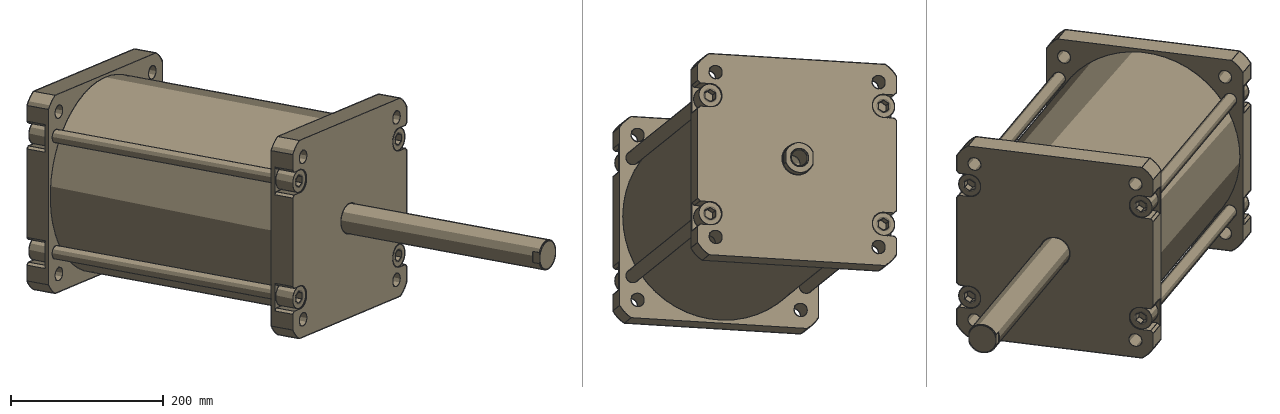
import cadquery as cq
import math

ROD_LENGTH = 740.0
REAR_STUB = 12.0
PLATE_SIDE = 270.0
PLATE_THICKNESS = 34.0
PLATE_CORNER_INSET = 15.5
PLATE_CORNER_RADIUS = 44.5
BARREL_LENGTH = 349.0
BARREL_DIAMETER = 262.0

ROD_DIAMETER = 40.0
ROD_BORE_CHAMFER = 1.0
ROD_END_CHAMFER = 1.1
ROD_FLATS_WIDTH = 37.0
REAR_FLATS_LENGTH = 9.5
FRONT_FLATS_LENGTH = 11.0
ROD_SOCKET_DIAMETER = 21.5
ROD_SOCKET_CHAMFER = 1.5
ROD_SOCKET_DEPTH = 37.0
DRILL_POINT_ANGLE = 118.0

MOUNT_HOLE_DIAMETER = 18.0
MOUNT_HOLE_INSET = 24.5

TIE_DIAMETER = 18.0
TIE_Y = 118.0
TIE_Z = 79.0
HEAD_DIAMETER = 30.0
HEAD_LENGTH = 27.0
HEX_ACROSS_FLATS = 14.0
HEX_DEPTH = 13.0
HEX_LEAD_IN_DEPTH = 0.4

POCKET_WIDTH = 31.0
POCKET_DEPTH = 28.0
POCKET_EDGE_CHAMFER = 3.3

HALF_SIDE = PLATE_SIDE / 2
REAR_PLATE_X = REAR_STUB
BARREL_X = REAR_PLATE_X + PLATE_THICKNESS
MIDDLE_X = BARREL_X + BARREL_LENGTH / 2
MOUNT_HOLE_OFFSET = HALF_SIDE - MOUNT_HOLE_INSET
TIE_PLACES = [(y, z) for y in (-TIE_Y, TIE_Y) for z in (-TIE_Z, TIE_Z)]
MOUNT_PLACES = [
    (y, z)
    for y in (-MOUNT_HOLE_OFFSET, MOUNT_HOLE_OFFSET)
    for z in (-MOUNT_HOLE_OFFSET, MOUNT_HOLE_OFFSET)
]


def section_at(x):
    """Workplane across the X axis; its local axes are Y and Z and it extrudes toward +X."""
    return cq.Workplane("YZ", origin=(x, 0, 0))


def make_cone(start, start_diameter, end_diameter, length):
    """Cut-off cone that runs toward +X from its start point."""
    cone = cq.Solid.makeCone(
        start_diameter / 2, end_diameter / 2, length, cq.Vector(*start), cq.Vector(1, 0, 0)
    )
    return cq.Workplane(cone)


def mirror_front_to_back(body):
    """Mirror a body about the middle of the barrel."""
    return body.mirror("YZ", (MIDDLE_X, 0, 0))


def make_head_pocket(y, z):
    """Round-bottomed pocket in the rear face, its mouth flared where it leaves the plate side."""
    side = math.copysign(1, y)
    half_width = POCKET_WIDTH / 2
    edge = side * HALF_SIDE
    throat = edge - side * POCKET_EDGE_CHAMFER
    mouth = half_width + POCKET_EDGE_CHAMFER
    return (
        section_at(REAR_PLATE_X)
        .moveTo(y, z + half_width)
        .lineTo(throat, z + half_width)
        .lineTo(edge, z + mouth)
        .lineTo(edge, z - mouth)
        .lineTo(throat, z - half_width)
        .lineTo(y, z - half_width)
        .threePointArc((y - side * half_width, z), (y, z + half_width))
        .close()
        .extrude(POCKET_DEPTH)
    )


def make_plate_outline():
    """Square outline with each corner cut off by a shallow arc."""
    straight_end = HALF_SIDE - PLATE_CORNER_INSET
    half_chord = PLATE_CORNER_INSET / math.sqrt(2)
    bulge = PLATE_CORNER_RADIUS - math.sqrt(PLATE_CORNER_RADIUS**2 - half_chord**2)
    arc_middle = HALF_SIDE - PLATE_CORNER_INSET / 2 + bulge / math.sqrt(2)
    outline = section_at(REAR_PLATE_X).moveTo(HALF_SIDE, -straight_end)
    corner = [(HALF_SIDE, straight_end), (arc_middle, arc_middle), (straight_end, HALF_SIDE)]
    for _ in range(4):
        outline = outline.lineTo(*corner[0]).threePointArc(*corner[1:])
        corner = [(-z, y) for y, z in corner]
    return outline.close()


def make_rear_plate():
    plate = make_plate_outline().extrude(PLATE_THICKNESS)
    for diameter, places in (
        (ROD_DIAMETER, [(0, 0)]),
        (MOUNT_HOLE_DIAMETER, MOUNT_PLACES),
        (TIE_DIAMETER, TIE_PLACES),
    ):
        holes = section_at(REAR_PLATE_X).pushPoints(places).circle(diameter / 2)
        plate = plate.cut(holes.extrude(PLATE_THICKNESS))
    bore_mouth = make_cone(
        (REAR_PLATE_X, 0, 0), ROD_DIAMETER + 2 * ROD_BORE_CHAMFER, ROD_DIAMETER, ROD_BORE_CHAMFER
    )
    plate = plate.cut(bore_mouth)
    for y, z in TIE_PLACES:
        plate = plate.cut(make_head_pocket(y, z))
    return plate


def make_barrel():
    return (
        section_at(BARREL_X)
        .circle(BARREL_DIAMETER / 2)
        .circle(ROD_DIAMETER / 2)
        .extrude(BARREL_LENGTH)
    )


def make_rod_socket():
    """Blind hole with a chamfered mouth and a drill point, along X from the rear end of the rod."""
    radius = ROD_SOCKET_DIAMETER / 2
    point_length = radius / math.tan(math.radians(DRILL_POINT_ANGLE / 2))
    return (
        cq.Workplane("XY")
        .lineTo(0, radius + ROD_SOCKET_CHAMFER)
        .lineTo(ROD_SOCKET_CHAMFER, radius)
        .lineTo(ROD_SOCKET_DEPTH, radius)
        .lineTo(ROD_SOCKET_DEPTH + point_length, 0)
        .close()
        .revolve(360, (0, 0, 0), (1, 0, 0))
    )


def make_rod_flats(start_x, length):
    """Material outside the two wrench flats on the -Y and +Y sides."""
    return (
        section_at(start_x)
        .rect(2 * ROD_DIAMETER, 2 * ROD_DIAMETER)
        .rect(ROD_FLATS_WIDTH, 2 * ROD_DIAMETER)
        .extrude(length)
    )


def make_piston_rod():
    rod = section_at(0).circle(ROD_DIAMETER / 2).extrude(ROD_LENGTH)
    rod = rod.faces(">X").chamfer(ROD_END_CHAMFER)
    rod = rod.cut(make_rod_flats(0, REAR_FLATS_LENGTH))
    rod = rod.cut(make_rod_flats(ROD_LENGTH - FRONT_FLATS_LENGTH, FRONT_FLATS_LENGTH))
    return rod.cut(make_rod_socket())


def make_tie_head(y, z):
    """Rear socket head on the pocket floor, with a hex socket that has a conical lead-in."""
    inner_x = REAR_PLATE_X + POCKET_DEPTH
    outer_x = inner_x - HEAD_LENGTH
    hex_corners = HEX_ACROSS_FLATS / math.cos(math.pi / 6)
    head = section_at(outer_x).center(y, z).circle(HEAD_DIAMETER / 2).extrude(HEAD_LENGTH)
    hex_socket = (
        section_at(outer_x)
        .center(y, z)
        .transformed(rotate=(0, 0, 90))
        .polygon(6, hex_corners)
        .extrude(HEX_DEPTH)
    )
    lead_in = make_cone((outer_x, y, z), TIE_DIAMETER, HEX_ACROSS_FLATS, HEX_LEAD_IN_DEPTH)
    return head.cut(hex_socket).cut(lead_in)


def make_tie_rod(y, z):
    shank_start = REAR_PLATE_X + POCKET_DEPTH
    shank_length = 2 * (MIDDLE_X - shank_start)
    shank = section_at(shank_start).center(y, z).circle(TIE_DIAMETER / 2).extrude(shank_length)
    rear_head = make_tie_head(y, z)
    return shank.union(rear_head).union(mirror_front_to_back(rear_head))


rear_plate = make_rear_plate()
front_plate = mirror_front_to_back(rear_plate)
barrel = make_barrel()
piston_rod = make_piston_rod()
tie_rods = [make_tie_rod(y, z) for y, z in TIE_PLACES]

result = cq.Compound.makeCompound(
    [
        rear_plate.val(),
        front_plate.val(),
        barrel.val(),
        piston_rod.val(),
        *[tie_rod.val() for tie_rod in tie_rods],
    ]
)